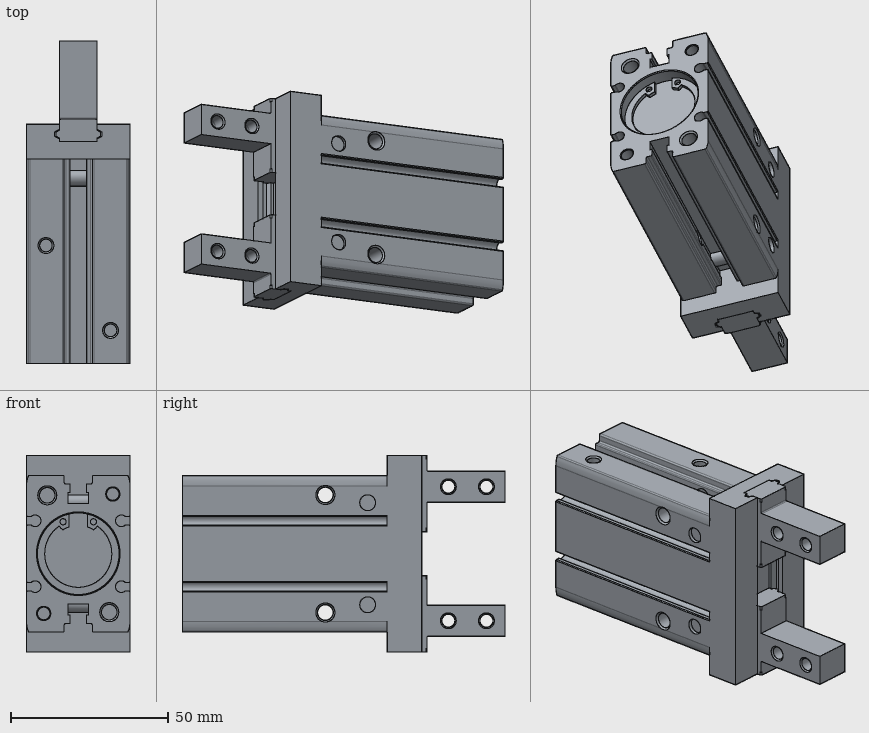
import cadquery as cq
import math


WIDTH = 33.0
HEAD_HEIGHT = 62.6
HEAD_REAR = 65.1
HEAD_FRONT = 76.2
HEAD_EDGE_CHAMFER = 0.1
BODY_HALF_HEIGHT = 24.9

CORNER_HEIGHT = 3.4
CORNER_INSET = 0.7
LAND_FILLET = 0.5

MOUTH_WIDTH = 8.9
MOUTH_DEPTH = 2.8
MOUTH_FILLET = 0.5
NECK_WIDTH = 5.1
NECK_FILLET = 0.3
POCKET_WIDTH = 6.5
POCKET_START = 5.5
POCKET_DEPTH = 9.0

GROOVE_Z = 10.5
GROOVE_MOUTH = 2.8
GROOVE_DIAMETER = 3.7
GROOVE_CENTRE_DEPTH = 2.8
GROOVE_CHAMFER = 0.3
GROOVE_LIP_FILLET = 0.3

BORE_DIAMETER = 26.0
BORE_CHAMFER = 0.3
RING_DEPTH = 3.7
RING_THICKNESS = 1.1
RING_INNER_DIAMETER = 21.4
RING_GAP = 5.9
EAR_INNER_RADIUS = 9.0
EAR_FOOT_X = 4.9
EAR_HOLE_DIAMETER = 2.0
EAR_HOLE_X = 4.8
EAR_HOLE_Z = 10.2

PIN_DIAMETER = 5.0
PIN_Y = 58.9
PIN_Z = 16.2
PIN_RECESS = 1.2

LARGE_DRILL = 4.9
LARGE_SINK = 6.1
SMALL_DRILL = 4.0
SMALL_SINK = 4.5
PORT_SINK = 5.0
SIDE_HOLE_Y = 45.5
SIDE_HOLE_Z = 18.7
REAR_LARGE_X = 9.9
REAR_LARGE_Z = 18.6
REAR_LARGE_DEPTH = 10.3
REAR_SMALL_X = 11.0
REAR_SMALL_Z = 19.0
REAR_SMALL_DEPTH = 6.2
PORT_X = 10.3
PORT_LEFT_Y = 37.6
PORT_RIGHT_Y = 10.6
PORT_DEPTH = 8.2

FINGER_TIP = 102.6
FINGER_WIDTH = 12.0
JAW_BOTTOM = 16.3
JAW_TOP = 26.3
JAW_FILLET = 0.3
RAIL_FLOOR = 70.6
RAIL_FACE = 77.8
RAIL_BOTTOM = 7.0
RAIL_TOP = HEAD_HEIGHT / 2
RAIL_CORNER_CHAMFER = 0.4
RAIL_END_LENGTH = 1.1
RIB_Y = 73.0
RIB_REACH = 1.5
RIB_ROOT_HEIGHT = 3.0
RIB_TIP_HEIGHT = 1.3
RIB_END_REDUCTION = 0.5
JAW_HOLE_YS = (84.6, 96.7)
JAW_HOLE_DRILL = 4.1
JAW_HOLE_SINK = 5.0


def plane_y(y):
    """Workplane across the part at the given Y, with local axes X and Z."""
    return cq.Workplane("XZ", origin=(0, y, 0))


def countersunk_hole(drill, sink, depth, start, direction):
    """Cutter for a hole from `start` along `direction`, with a 45 degree countersink."""
    sink_depth = (sink - drill) / 2
    profile = [(0, 0), (sink / 2, 0), (drill / 2, sink_depth), (drill / 2, depth), (0, depth)]
    cutter = cq.Workplane("XZ").polyline(profile).close().revolve(360, (0, 0), (0, 1)).val()
    return cutter.moved(cq.Plane(origin=start, normal=direction).location)


def body():
    half_width = WIDTH / 2
    corner_radius = (CORNER_HEIGHT**2 + CORNER_INSET**2) / (2 * CORNER_INSET)
    middle_angle = math.asin(CORNER_HEIGHT / corner_radius) / 2
    side_top = BODY_HALF_HEIGHT - CORNER_HEIGHT
    middle_x = half_width - corner_radius * (1 - math.cos(middle_angle))
    middle_z = side_top + corner_radius * math.sin(middle_angle)
    land_x = half_width - CORNER_INSET
    land_z = BODY_HALF_HEIGHT
    return (
        plane_y(0)
        .moveTo(half_width, -side_top)
        .lineTo(half_width, side_top)
        .threePointArc((middle_x, middle_z), (land_x, land_z))
        .lineTo(-land_x, land_z)
        .threePointArc((-middle_x, middle_z), (-half_width, side_top))
        .lineTo(-half_width, -side_top)
        .threePointArc((-middle_x, -middle_z), (-land_x, -land_z))
        .lineTo(land_x, -land_z)
        .threePointArc((middle_x, -middle_z), (half_width, -side_top))
        .close()
        .extrude(-HEAD_REAR)
    )


def slot_part(width, top, bottom):
    """Block along the body from depth `top` to depth `bottom` under the upper face."""
    middle_z = BODY_HALF_HEIGHT - (top + bottom) / 2
    return plane_y(0).center(0, middle_z).rect(width, bottom - top).extrude(-HEAD_REAR)


def t_slots():
    mouth = slot_part(MOUTH_WIDTH, 0, MOUTH_DEPTH).edges("|Y and <Z").fillet(MOUTH_FILLET)
    neck = slot_part(NECK_WIDTH, 0, POCKET_START)
    pocket = slot_part(POCKET_WIDTH, POCKET_START, POCKET_DEPTH)
    upper = mouth.union(neck).union(pocket)
    return upper.union(upper.mirror("XY"))


def is_neck_corner(edge):
    """Whether a long edge lies where a T-slot's step meets its neck."""
    centre = edge.Center()
    at_neck = abs(abs(centre.x) - NECK_WIDTH / 2) < 0.01
    at_step = abs(abs(centre.z) - (BODY_HALF_HEIGHT - MOUTH_DEPTH)) < 0.01
    return at_neck and at_step


def side_groove():
    """Keyhole groove in the +X, +Z quarter, with a chamfered mouth."""
    half_width = WIDTH / 2
    centre_x = half_width - GROOVE_CENTRE_DEPTH
    half_mouth = GROOVE_MOUTH / 2
    channel = (
        plane_y(0)
        .center(0, GROOVE_Z)
        .polyline([
            (centre_x, -half_mouth),
            (half_width - GROOVE_CHAMFER, -half_mouth),
            (half_width, -half_mouth - GROOVE_CHAMFER),
            (half_width, half_mouth + GROOVE_CHAMFER),
            (half_width - GROOVE_CHAMFER, half_mouth),
            (centre_x, half_mouth),
        ])
        .close()
        .extrude(-HEAD_REAR)
    )
    round_part = plane_y(0).center(centre_x, GROOVE_Z).circle(GROOVE_DIAMETER / 2).extrude(-HEAD_REAR)
    groove = channel.union(round_part)
    lip_x = centre_x + math.sqrt((GROOVE_DIAMETER / 2) ** 2 - half_mouth**2)
    for z in (GROOVE_Z - half_mouth, GROOVE_Z + half_mouth):
        lip = cq.selectors.NearestToPointSelector((lip_x, HEAD_REAR / 2, z))
        groove = groove.edges("|Y").edges(lip).fillet(GROOVE_LIP_FILLET)
    return groove


def side_grooves():
    right = side_groove()
    right = right.union(right.mirror("XY"))
    return right.union(right.mirror("YZ"))


def retaining_ring():
    """Open ring with two drilled ears, seated on the floor of the bore."""
    outer_radius = BORE_DIAMETER / 2
    plane = plane_y(RING_DEPTH)
    foot_z = math.sqrt(EAR_INNER_RADIUS**2 - EAR_FOOT_X**2)
    flank = outer_radius - foot_z
    ears = (
        plane.circle(outer_radius).circle(EAR_INNER_RADIUS).extrude(-RING_THICKNESS)
        .intersect(
            plane.polyline([
                (-EAR_FOOT_X, foot_z),
                (EAR_FOOT_X, foot_z),
                (EAR_FOOT_X + flank, outer_radius),
                (-EAR_FOOT_X - flank, outer_radius),
            ])
            .close()
            .extrude(-RING_THICKNESS)
        )
    )
    gap = plane.center(0, outer_radius / 2).rect(RING_GAP, outer_radius).extrude(-RING_THICKNESS)
    holes = (
        plane.pushPoints([(-EAR_HOLE_X, EAR_HOLE_Z), (EAR_HOLE_X, EAR_HOLE_Z)])
        .circle(EAR_HOLE_DIAMETER / 2)
        .extrude(-RING_THICKNESS)
    )
    ring = plane.circle(outer_radius).circle(RING_INNER_DIAMETER / 2).extrude(-RING_THICKNESS)
    return ring.union(ears).cut(gap).cut(holes)


def bore():
    depth = RING_DEPTH + RING_THICKNESS
    sink = BORE_DIAMETER + 2 * BORE_CHAMFER
    return countersunk_hole(BORE_DIAMETER, sink, depth, (0, 0, 0), (0, 1, 0))


def lever_pins(length):
    """Two cylinders along X, centred on the part."""
    return (
        cq.Workplane("YZ", origin=(-length / 2, 0, 0))
        .pushPoints([(PIN_Y, PIN_Z), (PIN_Y, -PIN_Z)])
        .circle(PIN_DIAMETER / 2)
        .extrude(length)
    )


def mounting_holes():
    cutters = []
    for side in (-1, 1):
        for z in (-SIDE_HOLE_Z, SIDE_HOLE_Z):
            start = (side * WIDTH / 2, SIDE_HOLE_Y, z)
            cutters.append(countersunk_hole(LARGE_DRILL, LARGE_SINK, WIDTH / 2, start, (-side, 0, 0)))
        large_start = (side * REAR_LARGE_X, 0, -side * REAR_LARGE_Z)
        cutters.append(
            countersunk_hole(LARGE_DRILL, LARGE_SINK, REAR_LARGE_DEPTH, large_start, (0, 1, 0))
        )
        small_start = (side * REAR_SMALL_X, 0, side * REAR_SMALL_Z)
        cutters.append(
            countersunk_hole(SMALL_DRILL, SMALL_SINK, REAR_SMALL_DEPTH, small_start, (0, 1, 0))
        )
    for x, y in ((-PORT_X, PORT_LEFT_Y), (PORT_X, PORT_RIGHT_Y)):
        start = (x, y, BODY_HALF_HEIGHT)
        cutters.append(countersunk_hole(SMALL_DRILL, PORT_SINK, PORT_DEPTH, start, (0, 0, -1)))
    return cutters


def rail(z_start, z_end, rib_reduction, corner_chamfer):
    """Slide block of a finger with a trapezoidal rib on each side, between two heights."""
    half = FINGER_WIDTH / 2
    tip_x = half + RIB_REACH - rib_reduction
    root = (RIB_ROOT_HEIGHT - rib_reduction) / 2
    tip = RIB_TIP_HEIGHT / 2
    right_side = [
        (half, RAIL_FLOOR),
        (half, RIB_Y - root),
        (tip_x, RIB_Y - tip),
        (tip_x, RIB_Y + tip),
        (half, RIB_Y + root),
        (half, RAIL_FACE - corner_chamfer),
    ]
    if corner_chamfer:
        right_side.append((half - corner_chamfer, RAIL_FACE))
    left_side = [(-x, y) for x, y in reversed(right_side)]
    return (
        cq.Workplane("XY", origin=(0, 0, z_start))
        .polyline(right_side + left_side)
        .close()
        .extrude(z_end - z_start)
    )


def make_housing():
    rear = body().cut(t_slots())
    rear = rear.faces(">Z or <Z").edges("|Y").fillet(LAND_FILLET)
    neck_corners = [edge for edge in rear.edges("|Y").vals() if is_neck_corner(edge)]
    rear = rear.newObject(neck_corners).fillet(NECK_FILLET)
    rear = rear.cut(side_grooves())

    head = (
        plane_y(HEAD_REAR)
        .rect(WIDTH, HEAD_HEIGHT)
        .extrude(HEAD_REAR - HEAD_FRONT)
        .faces(">Y")
        .edges("|Z")
        .chamfer(HEAD_EDGE_CHAMFER)
    )
    housing = rear.union(head)
    housing = housing.cut(rail(-RAIL_TOP, RAIL_TOP, 0, 0))
    for cutter in mounting_holes():
        housing = housing.cut(cq.Workplane(cutter))
    housing = housing.cut(lever_pins(WIDTH)).union(lever_pins(WIDTH - 2 * PIN_RECESS))
    return housing.cut(cq.Workplane(bore())).union(retaining_ring())


def make_finger():
    """Upper finger: a jaw standing on a slide rail whose ends are slightly reduced."""
    lower_end = RAIL_BOTTOM + RAIL_END_LENGTH
    upper_end = RAIL_TOP - RAIL_END_LENGTH
    jaw_height = JAW_TOP - JAW_BOTTOM
    jaw = (
        plane_y(RAIL_FLOOR)
        .center(0, (JAW_BOTTOM + JAW_TOP) / 2)
        .rect(FINGER_WIDTH, jaw_height)
        .extrude(RAIL_FLOOR - FINGER_TIP)
    )
    finger = rail(lower_end, upper_end, 0, 0).union(jaw)
    for start, end in ((RAIL_BOTTOM, lower_end), (upper_end, RAIL_TOP)):
        finger = finger.union(rail(start, end, RIB_END_REDUCTION, RAIL_CORNER_CHAMFER))
    outer_corner = cq.selectors.NearestToPointSelector((0, RAIL_FACE, JAW_TOP))
    finger = finger.edges("|X").edges(outer_corner).fillet(JAW_FILLET)
    for y in JAW_HOLE_YS:
        for side in (-1, 1):
            start = (side * FINGER_WIDTH / 2, y, (JAW_BOTTOM + JAW_TOP) / 2)
            hole = countersunk_hole(
                JAW_HOLE_DRILL, JAW_HOLE_SINK, FINGER_WIDTH / 2, start, (-side, 0, 0)
            )
            finger = finger.cut(cq.Workplane(hole))
    return finger


housing = make_housing()
upper_finger = make_finger()
fingers = [upper_finger, upper_finger.mirror("XY")]

result = cq.Compound.makeCompound([housing.val(), *[finger.val() for finger in fingers]])